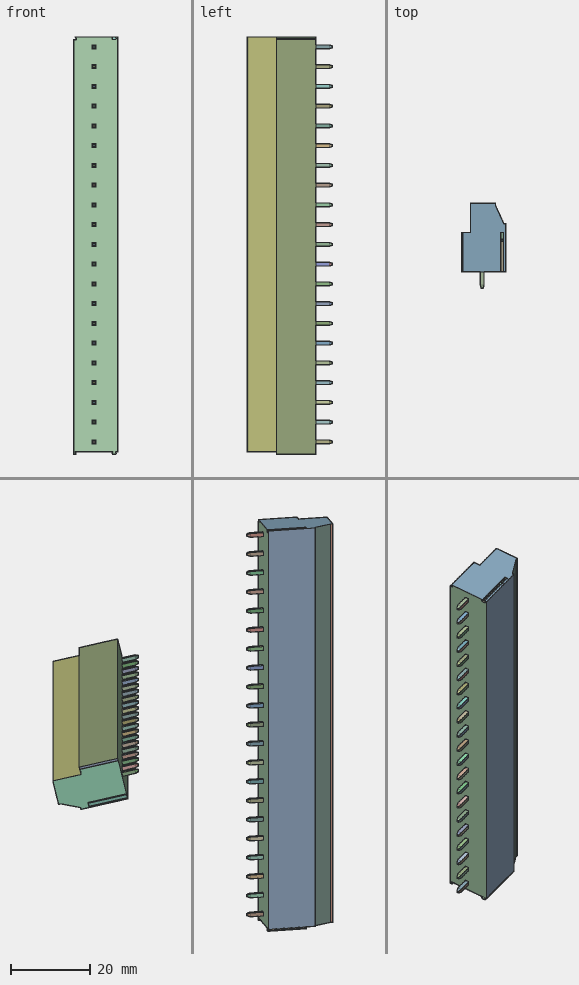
import cadquery as cq

POLE_COUNT = 21
PITCH = 5.0

BODY_WIDTH = 11.2
BODY_DEPTH = 17.4
BODY_HEIGHT = POLE_COUNT * PITCH

BACK_STEP_WIDTH = 2.2
BACK_STEP_DEPTH = 10.0
CORNER_RADIUS = 0.2

ROOF_EDGE_X = 8.6
SHOULDER_DEPTH = 16.8
SLANT_END_X = 10.7
LIP_DEPTH = 12.2

RAIL_HEIGHT = 0.65
RAIL_LENGTH = BACK_STEP_DEPTH
WAIST_DROP = 0.4
HALF_RAIL_ROOT = 0.4
HALF_RAIL_TIP = 0.65
DOVETAIL_X = 10.25
DOVETAIL_ROOT = 0.65
DOVETAIL_WAIST = 1.15
DOVETAIL_TIP = 0.8

RIDGE_Y = 8.0
RIDGE_BASE = 0.65

PIN_SIZE = 1.0
PIN_LENGTH = 4.2
PIN_TAPER_LENGTH = 0.8
PIN_TIP_SIZE = 0.5
PIN_X = 5.2


def housing():
    """Stepped and slanted profile extruded along the row of poles."""
    outline = [
        (BACK_STEP_WIDTH, BACK_STEP_DEPTH),
        (0, BACK_STEP_DEPTH),
        (0, 0),
        (BODY_WIDTH, 0),
        (BODY_WIDTH, LIP_DEPTH),
        (SLANT_END_X, LIP_DEPTH),
        (ROOF_EDGE_X, SHOULDER_DEPTH),
        (ROOF_EDGE_X, BODY_DEPTH),
        (BACK_STEP_WIDTH + CORNER_RADIUS, BODY_DEPTH),
    ]
    return (
        cq.Workplane("XY")
        .polyline(outline)
        .radiusArc((BACK_STEP_WIDTH, BODY_DEPTH - CORNER_RADIUS), -CORNER_RADIUS)
        .close()
        .extrude(BODY_HEIGHT)
    )


def rails(root_z):
    """Half dovetail and full dovetail hanging below the level root_z."""
    tip_z = root_z - RAIL_HEIGHT
    waist_z = root_z - WAIST_DROP
    half_dovetail = [
        (0, root_z),
        (HALF_RAIL_ROOT, root_z),
        (HALF_RAIL_TIP, waist_z),
        (HALF_RAIL_TIP, tip_z),
        (0, tip_z),
    ]
    full_dovetail = [
        (DOVETAIL_X - DOVETAIL_ROOT / 2, root_z),
        (DOVETAIL_X + DOVETAIL_ROOT / 2, root_z),
        (DOVETAIL_X + DOVETAIL_WAIST / 2, waist_z),
        (DOVETAIL_X + DOVETAIL_TIP / 2, tip_z),
        (DOVETAIL_X - DOVETAIL_TIP / 2, tip_z),
        (DOVETAIL_X - DOVETAIL_WAIST / 2, waist_z),
    ]
    section = cq.Workplane("XZ").polyline(half_dovetail).close().polyline(full_dovetail).close()
    return section.extrude(-RAIL_LENGTH)


def groove_cutter():
    """Rail-shaped grooves for the top, leaving out the ridge."""
    floor_z = BODY_HEIGHT - RAIL_HEIGHT
    ridge = (
        cq.Workplane("YZ", origin=(DOVETAIL_X - DOVETAIL_WAIST / 2, 0, 0))
        .moveTo(RIDGE_Y - RIDGE_BASE / 2, floor_z)
        .lineTo(RIDGE_Y + RIDGE_BASE / 2, floor_z)
        .lineTo(RIDGE_Y, BODY_HEIGHT)
        .close()
        .extrude(DOVETAIL_WAIST)
    )
    return rails(BODY_HEIGHT).cut(ridge)


def pin(z):
    """Square pin with a tapered tip, standing on the pin face."""
    shank_length = PIN_LENGTH - PIN_TAPER_LENGTH
    base = cq.Workplane("XZ").center(PIN_X, z).rect(PIN_SIZE, PIN_SIZE)
    shank = base.extrude(shank_length)
    tip = (
        cq.Workplane("XZ", origin=(PIN_X, -shank_length, z))
        .rect(PIN_SIZE, PIN_SIZE)
        .workplane(offset=PIN_TAPER_LENGTH)
        .rect(PIN_TIP_SIZE, PIN_TIP_SIZE)
        .loft(ruled=True)
    )
    return shank.union(tip)


result = housing().cut(groove_cutter()).union(rails(0))
for pole in range(POLE_COUNT):
    result = result.union(pin((pole + 0.5) * PITCH))